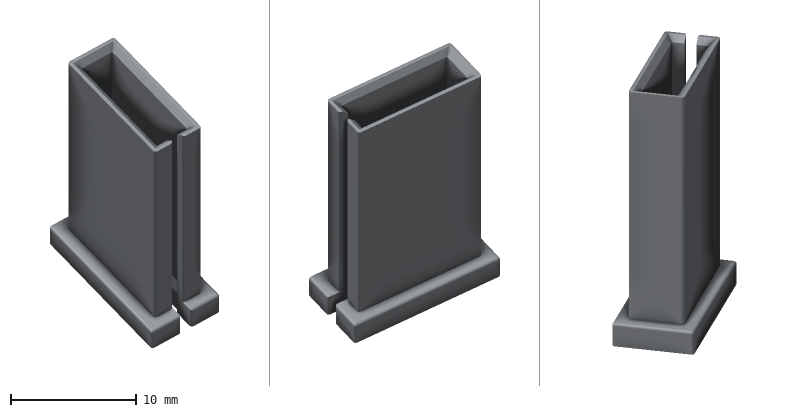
import cadquery as cq

total_height = 22
flange_length = 14.0
flange_width = 6.75
flange_height = 2.0
flange_overhang = 1.08
edge_radius = 0.25

tube_length = flange_length - 2 * flange_overhang
tube_width = flange_width - 2 * flange_overhang

rim_thickness = 0.3
mouth_length = tube_length - 2 * rim_thickness
mouth_width = tube_width - 2 * rim_thickness
cavity_length = 10.16
cavity_width = 3.01
mouth_depth = 0.5
floor_opening_width = 1.45

slot_width = 1.0


def upright_box(length, width, bottom, top):
    """Box centred on the Z axis between two heights."""
    height = top - bottom
    return cq.Workplane("XY").box(length, width, height, (True, True, False)).translate((0, 0, bottom))


def slotted_block(length, width, bottom, top):
    """Upright block, slotted from its centre to +X, with all outer upright edges rounded."""
    block = upright_box(length, width, bottom, top)
    slot_length = length / 2
    slot = upright_box(slot_length, slot_width, bottom, top).translate((slot_length / 2, 0, 0))
    block = block.cut(slot)
    return block.edges("|Z and (<X or >X)").fillet(edge_radius)


def flared_mouth():
    """Tapered cut that widens the cavity towards the top rim."""
    return (
        cq.Workplane("XY", origin=(0, 0, total_height - mouth_depth))
        .rect(cavity_length, cavity_width)
        .workplane(offset=mouth_depth)
        .rect(mouth_length, mouth_width)
        .loft(ruled=True)
    )


rounded_envelope = (
    upright_box(flange_length, flange_width, 0, flange_height)
    .edges("|Z").fillet(edge_radius)
    .faces(">Z").edges().fillet(edge_radius)
)
flange = slotted_block(flange_length, flange_width, 0, flange_height).intersect(rounded_envelope)

tube = slotted_block(tube_length, tube_width, flange_height, total_height)
cavity = upright_box(cavity_length, cavity_width, flange_height, total_height)
floor_opening = upright_box(cavity_length, floor_opening_width, 0, flange_height)

result = flange.union(tube).cut(cavity).cut(floor_opening).cut(flared_mouth())